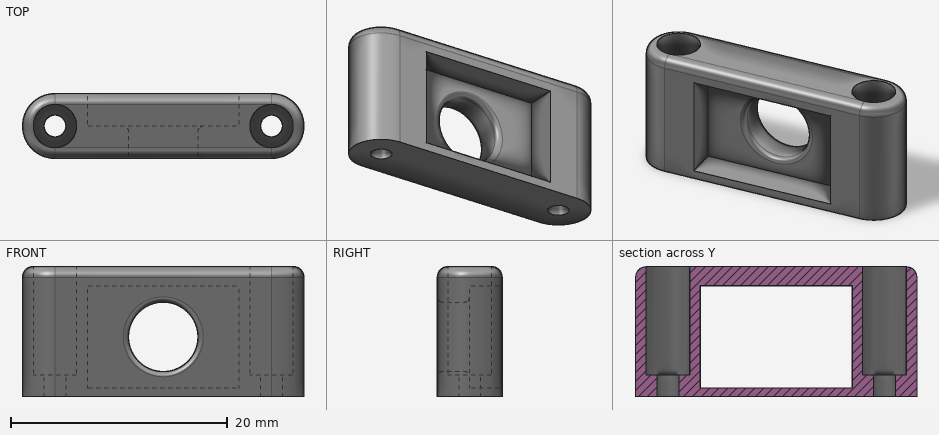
import cadquery as cq

length = 26.0
width = 6.0
height = 12.0

screw_spacing = length - width
screw_diameter = 2.0
counterbore_diameter = 4.0
screw_head_seat = 2.0
counterbore_depth = height - screw_head_seat

top_fillet = (width - counterbore_diameter) / 2

bore_diameter = 6.4
bore_height = 5.5
bore_fillet = 0.5

front_wall = 3.0
bottom_wall = 0.8
pocket_width = 14.0
pocket_height = 2 * (bore_height - bottom_wall)
pocket_depth = width - front_wall


def make_body():
    """Stadium block with its top rim rounded, bottom at Z = 0."""
    block = cq.Workplane("XY").slot2D(length, width).extrude(height)
    return block.faces(">Z").edges().fillet(top_fillet)


def cut_pocket(body):
    """Hollow the block from the back, centred on the bore axis."""
    pocket = (
        cq.Workplane("XY")
        .box(pocket_width, pocket_depth, pocket_height)
        .translate((0, (width - pocket_depth) / 2, bore_height))
    )
    return body.cut(pocket)


def cut_bore(body):
    """Bore the front wall and round both of its rims."""
    bore = (
        cq.Workplane("XZ", origin=(0, 0, bore_height))
        .circle(bore_diameter / 2)
        .extrude(width / 2)
    )
    bored = body.cut(bore)
    rim_reach = bore_diameter / 2 + bore_fillet
    rims = cq.selectors.BoxSelector(
        (-rim_reach, -width, bore_height - rim_reach),
        (rim_reach, width, bore_height + rim_reach),
    )
    return bored.edges("%CIRCLE").edges(rims).fillet(bore_fillet)


def cut_screw_holes(body):
    """Two counterbored holes running down from the top face."""
    return (
        body.faces(">Z")
        .workplane(origin=(0, 0, height))
        .rarray(screw_spacing, 0.25, 2, 1)
        .cboreHole(screw_diameter, counterbore_diameter, counterbore_depth)
    )


result = cut_screw_holes(cut_bore(cut_pocket(make_body())))